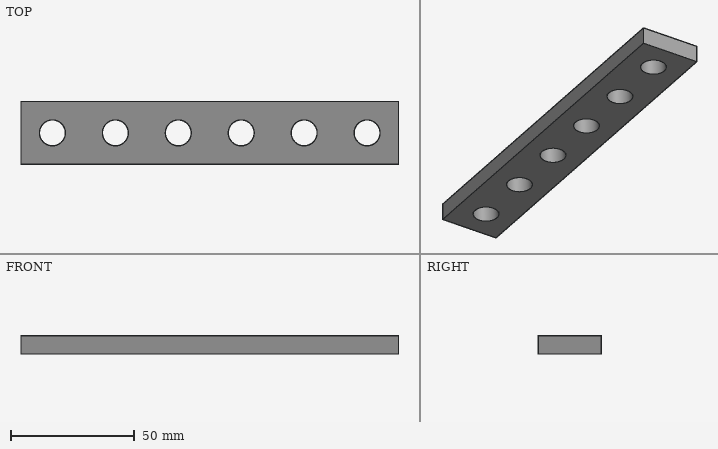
import cadquery as cq

length = 152.4
width = 25.5
thickness = 7.5

hole_count = 6
hole_diameter = 10.4
hole_pitch = length / hole_count

bar = cq.Workplane("XY").box(length, width, thickness)

result = (
    bar.faces(">Z")
    .workplane()
    .rarray(hole_pitch, width, hole_count, 1)
    .hole(hole_diameter)
)